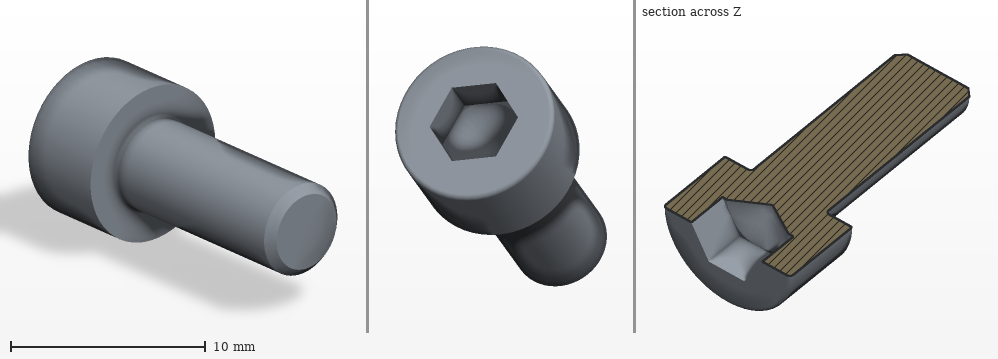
import cadquery as cq
import math

total_length = 17.0
head_diameter = 8.5
head_length = 5.0
head_edge_radius = 0.24
shank_diameter = 5.0
neck_fillet_radius = 0.2
tip_chamfer = 0.46

socket_across_flats = 4.08
socket_depth = 2.5
socket_cone_angle = 120.0

head_radius = head_diameter / 2
shank_radius = shank_diameter / 2
socket_across_corners = socket_across_flats / math.cos(math.radians(30))
socket_radius = socket_across_flats / 2
cone_depth = socket_radius / math.tan(math.radians(socket_cone_angle / 2))


def make_body():
    """Head and shank revolved about X, with rounded rim, neck fillet and tip chamfer."""
    diagonal = math.sqrt(0.5)
    rim_mid_x = head_edge_radius * (1 - diagonal)
    rim_mid_y = head_radius - head_edge_radius * (1 - diagonal)
    neck_mid_x = head_length + neck_fillet_radius * (1 - diagonal)
    neck_mid_y = shank_radius + neck_fillet_radius * (1 - diagonal)
    return (
        cq.Workplane("XY")
        .lineTo(0, head_radius - head_edge_radius)
        .threePointArc((rim_mid_x, rim_mid_y), (head_edge_radius, head_radius))
        .lineTo(head_length, head_radius)
        .lineTo(head_length, shank_radius + neck_fillet_radius)
        .threePointArc((neck_mid_x, neck_mid_y), (head_length + neck_fillet_radius, shank_radius))
        .lineTo(total_length - tip_chamfer, shank_radius)
        .lineTo(total_length, shank_radius - tip_chamfer)
        .lineTo(total_length, 0)
        .close()
        .revolve(360, (0, 0, 0), (1, 0, 0))
    )


def make_socket():
    """Hexagonal recess, two flats facing up and down, ending in a cone."""
    hexagon = cq.Workplane("YZ").polygon(6, socket_across_corners).extrude(socket_depth)
    cone = (
        cq.Workplane("XY")
        .moveTo(socket_depth, 0)
        .lineTo(socket_depth + cone_depth, 0)
        .lineTo(socket_depth, socket_radius)
        .close()
        .revolve(360, (0, 0, 0), (1, 0, 0))
    )
    return hexagon.union(cone)


result = make_body().cut(make_socket())